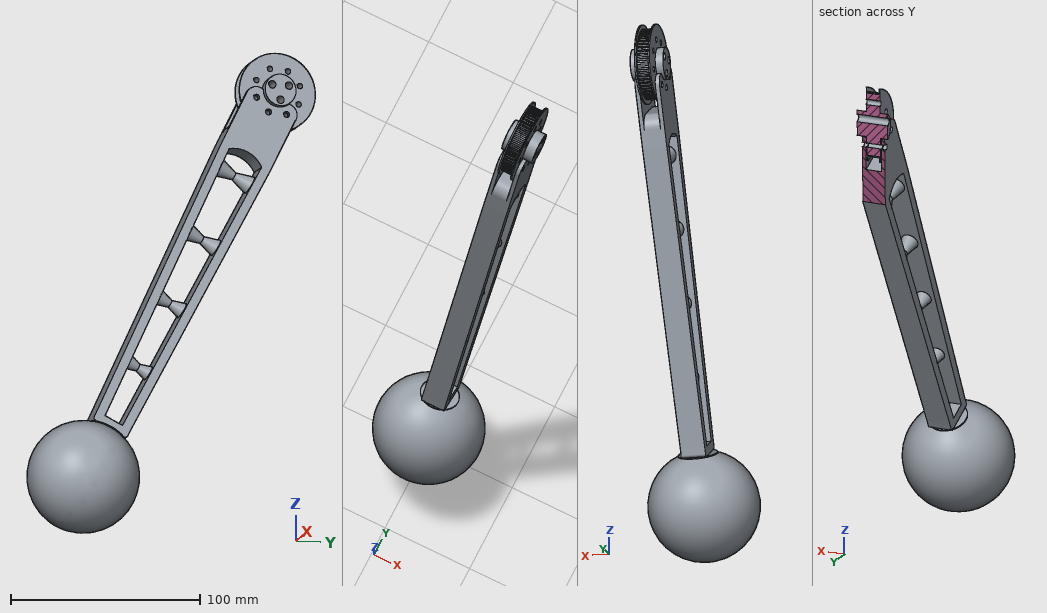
import cadquery as cq
import math


lean_angle = -26.1
sideways_angle = 0.6

ball_radius = 29.9
ball_drop = 240.2

flange_diameter = 42.0
flange_thickness = 0.8
pulley_width = 8.3
tooth_count = 60
toothed_diameter = 37.5
tooth_gap_width = 0.95
tooth_gap_depth = 0.75
hub_diameter = 17.0
hub_left = 8.3
hub_right = 9.5
hub_hole_diameter = 4.0
hub_hole_count = 3
hub_hole_circle_radius = 5.3
rim_hole_diameter = 3.0
rim_hole_count = 8
rim_hole_circle_radius = 13.0
rim_hole_spacing = 360 / rim_hole_count

arm_thickness = 13.3
head_width = 30.0
head_half_width = head_width / 2
foot_width = 20.8
foot_half_width = foot_width / 2
taper_start = 41.9
taper_end = 206.5
arm_end = 211.7
foot_fillet = 1.5
prong_hole_diameter = 3.2
prong_hole_count = 3
hub_clearance_diameter = 17.3
slot_width = 8.8
slot_floor = 24.8
slot_floor_round = 7.2
window_arch_radius = 16.3
window_wall = 5.0

post_count = 4
first_post = 51.7
post_spacing = 40.0
post_waist_radius = 2.0
post_flare = 0.3
post_embed = 1.3

peg_diameter = 21.0
peg_length = 8.0


def half_width(drop):
    """Half the arm's front-to-back width at a distance below the pulley axis."""
    along = (drop - taper_start) / (taper_end - taper_start)
    along = min(max(along, 0), 1)
    return head_half_width + along * (foot_half_width - head_half_width)


def across(profile_thickness):
    """A YZ workplane from which extruding by profile_thickness is centred on X."""
    return cq.Workplane("YZ", origin=(-profile_thickness / 2, 0, 0))


def make_arm_blank():
    tip_offset = rim_hole_circle_radius * math.sin(math.radians(rim_hole_spacing))
    tip_radius = head_half_width - tip_offset
    clearance_radius = hub_clearance_diameter / 2
    saddle_top = clearance_radius * math.cos(math.radians(rim_hole_spacing))

    blank = (
        across(arm_thickness)
        .moveTo(-head_half_width, -tip_offset)
        .lineTo(-tip_offset, -tip_offset)
        .lineTo(-tip_offset, -saddle_top)
        .lineTo(tip_offset, -saddle_top)
        .lineTo(tip_offset, -tip_offset)
        .lineTo(head_half_width, -tip_offset)
        .lineTo(head_half_width, -taper_start)
        .lineTo(foot_half_width, -taper_end)
        .lineTo(foot_half_width, -arm_end)
        .lineTo(-foot_half_width, -arm_end)
        .lineTo(-foot_half_width, -taper_end)
        .lineTo(-head_half_width, -taper_start)
        .close()
        .extrude(arm_thickness)
    )
    blank = blank.faces("<Z").edges("|X").fillet(foot_fillet)
    tips = (
        across(arm_thickness)
        .pushPoints([(-tip_offset, -tip_offset), (tip_offset, -tip_offset)])
        .circle(tip_radius)
        .extrude(arm_thickness)
    )
    hub_clearance = across(arm_thickness).circle(clearance_radius).extrude(arm_thickness)
    return blank.union(tips).cut(hub_clearance)


def make_slot():
    """Space for the pulley between the prongs, above a floor with rounded front and back edges."""
    round_start = head_half_width - slot_floor_round
    round_end = slot_floor + slot_floor_round
    return (
        across(slot_width)
        .moveTo(-head_half_width, 0)
        .lineTo(-head_half_width, -round_end)
        .radiusArc((-round_start, -slot_floor), slot_floor_round)
        .lineTo(round_start, -slot_floor)
        .radiusArc((head_half_width, -round_end), slot_floor_round)
        .lineTo(head_half_width, 0)
        .close()
        .extrude(slot_width)
    )


def make_window():
    top_half = half_width(taper_start) - window_wall
    bottom_half = half_width(taper_end) - window_wall
    return (
        across(arm_thickness)
        .moveTo(-top_half, -taper_start)
        .radiusArc((top_half, -taper_start), window_arch_radius)
        .lineTo(bottom_half, -taper_end)
        .lineTo(-bottom_half, -taper_end)
        .close()
        .extrude(arm_thickness)
    )


def make_post(drop):
    """Two cones meeting at a narrow waist, reaching into both side walls."""
    reach = half_width(drop) - window_wall + post_embed
    end_radius = post_waist_radius + post_flare * reach
    return (
        cq.Workplane("XY")
        .moveTo(0, -reach)
        .lineTo(end_radius, -reach)
        .lineTo(post_waist_radius, 0)
        .lineTo(end_radius, reach)
        .lineTo(0, reach)
        .close()
        .revolve(360, (0, 0), (0, 1))
        .translate((0, 0, -drop))
    )


def make_prong_holes():
    """Bolt holes in line with the three lowest rim holes of the pulley."""
    first_angle = -90 - rim_hole_spacing
    return (
        across(arm_thickness)
        .polarArray(rim_hole_circle_radius, first_angle, 2 * rim_hole_spacing, prong_hole_count)
        .circle(prong_hole_diameter / 2)
        .extrude(arm_thickness)
    )


def make_arm():
    arm = make_arm_blank().cut(make_slot()).cut(make_window()).cut(make_prong_holes())
    for index in range(post_count):
        arm = arm.union(make_post(first_post + index * post_spacing))
    return arm


def make_pulley():
    toothed_radius = toothed_diameter / 2
    drum = across(pulley_width).circle(toothed_radius).extrude(pulley_width)
    tooth_gaps = (
        across(pulley_width)
        .polarArray(toothed_radius, 0, 360, tooth_count)
        .rect(2 * tooth_gap_depth, tooth_gap_width)
        .extrude(pulley_width)
    )
    pulley = drum.cut(tooth_gaps)

    for flange_start in (-pulley_width / 2, pulley_width / 2 - flange_thickness):
        flange = (
            cq.Workplane("YZ", origin=(flange_start, 0, 0))
            .circle(flange_diameter / 2)
            .extrude(flange_thickness)
        )
        pulley = pulley.union(flange)

    hub_length = hub_left + hub_right
    hub_plane = cq.Workplane("YZ", origin=(-hub_left, 0, 0))
    pulley = pulley.union(hub_plane.circle(hub_diameter / 2).extrude(hub_length))

    hub_holes = (
        hub_plane.polarArray(hub_hole_circle_radius, -90 - lean_angle, 360, hub_hole_count)
        .circle(hub_hole_diameter / 2)
        .extrude(hub_length)
    )
    rim_holes = (
        hub_plane.polarArray(rim_hole_circle_radius, 0, 360, rim_hole_count)
        .circle(rim_hole_diameter / 2)
        .extrude(hub_length)
    )
    return pulley.cut(hub_holes).cut(rim_holes)


def make_peg_cylinder(length):
    """Cylinder of the peg's diameter standing on the floor of the ball's socket."""
    socket_floor = cq.Workplane("XY", origin=(0, 0, -arm_end - peg_length))
    return socket_floor.circle(peg_diameter / 2).extrude(length)


def make_peg():
    return make_peg_cylinder(peg_length)


def make_ball():
    """Ball with a flat-bottomed socket, open through the top of the ball."""
    sphere = cq.Workplane("XY").sphere(ball_radius).translate((0, 0, -ball_drop))
    return sphere.cut(make_peg_cylinder(ball_radius))


def pose(body):
    """Lean an upright body into its final position."""
    swung = body.rotate((0, 0, 0), (0, 1, 0), sideways_angle)
    return swung.rotate((0, 0, 0), (1, 0, 0), lean_angle)


pulley = pose(make_pulley())
arm = pose(make_arm())
peg = pose(make_peg())
ball = pose(make_ball())

result = cq.Compound.makeCompound([pulley.val(), arm.val(), peg.val(), ball.val()])